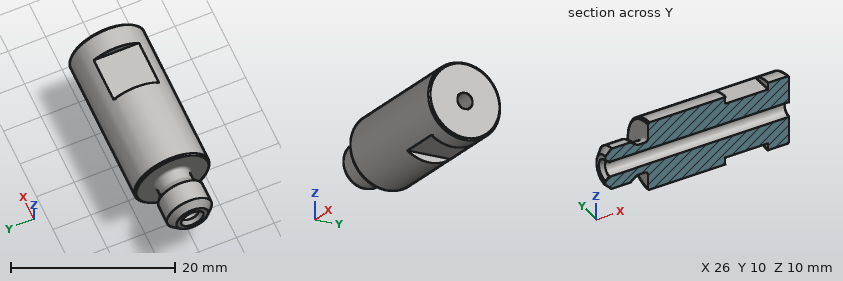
import cadquery as cq

total_length = 26.0
body_diameter = 10.0
body_start = 6.0
body_chamfer = 0.2

head_diameter = 6.0
head_chamfer = 0.88
head_shoulder = 3.55
neck_start = 4.55
neck_diameter = 4.5
neck_fillet = 0.4

bore_diameter = 2.1
mouth_diameter = 3.0
mouth_depth = 0.6

flat_start = 17.0
flat_length = 6.0
across_flats = 8.0


def turned_blank():
    body_radius = body_diameter / 2
    head_radius = head_diameter / 2
    neck_radius = neck_diameter / 2
    outline = [
        (0, 0),
        (0, head_radius - head_chamfer),
        (head_chamfer, head_radius),
        (head_shoulder, head_radius),
        (neck_start, neck_radius),
        (body_start, neck_radius),
        (body_start, body_radius - body_chamfer),
        (body_start + body_chamfer, body_radius),
        (total_length - body_chamfer, body_radius),
        (total_length, body_radius - body_chamfer),
        (total_length, 0),
    ]
    blank = cq.Workplane("XY").polyline(outline).close().revolve(360, (0, 0, 0), (1, 0, 0))
    neck_ends = cq.selectors.RadiusNthSelector(0)
    neck_zone = cq.selectors.BoxSelector(
        (neck_start - neck_fillet, -neck_diameter, -neck_diameter),
        (body_start + neck_fillet, neck_diameter, neck_diameter),
    )
    return blank.edges("%CIRCLE").edges(neck_zone).edges(neck_ends).fillet(neck_fillet)


def bore_cutter():
    bore = cq.Workplane("YZ").circle(bore_diameter / 2).extrude(total_length)
    mouth = (
        cq.Workplane("YZ")
        .circle(mouth_diameter / 2)
        .workplane(offset=mouth_depth)
        .circle(bore_diameter / 2)
        .loft()
    )
    return bore.union(mouth)


def flat_cutter(side):
    cut_depth = (body_diameter - across_flats) / 2
    center_x = flat_start + flat_length / 2
    center_z = side * (across_flats + cut_depth) / 2
    return cq.Workplane("XY").box(flat_length, body_diameter, cut_depth).translate((center_x, 0, center_z))


result = turned_blank().cut(bore_cutter())
for side in (1, -1):
    result = result.cut(flat_cutter(side))